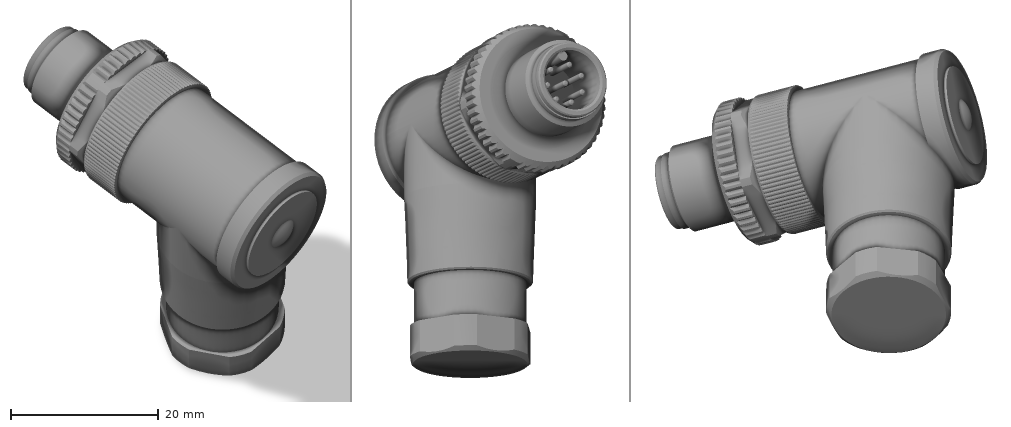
import cadquery as cq
import math


nose_radius = 5.15
nose_length = 1.0
nose_edge = 0.18
collar_radius = 5.32
sleeve_radius = 6.05
sleeve_start = 2.0
sleeve_shoulder_length = 0.45
sleeve_end = 9.0
sleeve_back_length = 0.3
neck_radius = 5.45

bore_radius = 4.15
bore_floor_radius = 3.95
bore_mouth_radius = 4.45
bore_mouth_depth = 0.2
bore_depth = 7.9
pin_radius = 0.4
pin_tip_radius = 0.2
pin_tip_start = 2.2
pin_circle_radius = 2.75
outer_pin_count = 7
key_angle = 110.0
key_gap_angle = 65.4
key_radius = 0.65
key_distance = 3.5
key_start = 0.65

ring_radius = 10.08
ring_start = 10.0
ring_face_radius = 9.3
flare_radius = 7.45
tooth_end = 13.05
tooth_count = 52
tooth_depth = 0.4
tooth_groove_share = 0.7
hex_flat_distance = 8.98
hex_corner_angle = 9.0
hex_chamfer_length = 0.8
hex_chamfer_height = 0.95
mark_angle = hex_corner_angle + 150
mark_width = 2.65
mark_depth = 0.25
plain_corner_angle = hex_corner_angle + 60
plain_half_width = 5.0

knurl_radius = 9.75
knurl_start = 15.35
knurl_end = 21.15
knurl_chamfer_length = 0.4
knurl_chamfer_height = 0.2
knurl_count = 100
knurl_depth = 0.15
knurl_groove_share = 0.7

barrel_radius = 8.98
cap_radius = 9.5
cap_start = 39.8
cap_end = 42.9
cap_chamfer_length = 0.5
cap_chamfer_height = 0.3
disc_radius = 6.85
disc_end = 43.3
dome_radius = 2.25
overall_length = 44.0

branch_x = 32.15
taper_top = -9.6
taper_bottom = -21.4
taper_end_radius = 8.55
taper_edge = 0.2
branch_neck_radius = 7.65
nut_top = -27.75
nut_bottom = -32.7
nut_corner_radius = 8.5
nut_flat_distance = 8.0
nut_chamfer_height = 0.55
nut_end_radius = 7.8


def revolve_about_x(profile):
    """Turn a closed (x, radius) sketch around the main axis."""
    return profile.close().revolve(360, (0, 0, 0), (1, 0, 0))


def plane_across_x(x):
    """Plane facing +X whose local x axis points along -Y and local y along -Z."""
    return cq.Plane(origin=(x, 0, 0), xDir=(0, -1, 0), normal=(1, 0, 0))


def across_point(radius, angle):
    """Local point on plane_across_x at an angle from -Y towards +Z."""
    angle = math.radians(angle)
    return (radius * math.cos(angle), -radius * math.sin(angle))


def grooved_outline(radius, count, depth, groove_share, is_plain):
    """Corner points of a circle cut by evenly spaced V grooves, left out where is_plain holds."""
    pitch = 360 / count
    half_groove = groove_share * pitch / 2
    points = []
    for i in range(count):
        angle = i * pitch
        root_radius = radius if is_plain(angle) else radius - depth
        points.append(across_point(radius, angle - half_groove))
        points.append(across_point(root_radius, angle))
        points.append(across_point(radius, angle + half_groove))
    return points


def prism_along_x(points, start, end):
    return cq.Workplane(plane_across_x(start)).polyline(points).close().extrude(end - start)


def near_plain_corner(angle):
    """True beside the two opposite ring corners that carry no teeth."""
    offset = (angle - plain_corner_angle + 90) % 180 - 90
    return abs(offset) < plain_half_width


def make_sleeve():
    profile = (
        cq.Workplane("XY")
        .moveTo(0, 0)
        .lineTo(0, nose_radius - nose_edge)
        .lineTo(nose_edge, nose_radius)
        .lineTo(nose_length, nose_radius)
        .lineTo(nose_length, collar_radius)
        .lineTo(sleeve_start, collar_radius)
        .lineTo(sleeve_start + sleeve_shoulder_length, sleeve_radius)
        .lineTo(sleeve_end - sleeve_back_length, sleeve_radius)
        .lineTo(sleeve_end, neck_radius)
        .lineTo(ring_start, neck_radius)
        .lineTo(ring_start, 0)
    )
    return revolve_about_x(profile)


def make_bore():
    profile = (
        cq.Workplane("XY")
        .moveTo(0, 0)
        .lineTo(0, bore_mouth_radius)
        .lineTo(bore_mouth_depth, bore_radius)
        .lineTo(bore_depth, bore_floor_radius)
        .lineTo(bore_depth, 0)
    )
    return revolve_about_x(profile)


def make_pin(position):
    tip_length = pin_radius - pin_tip_radius
    return (
        cq.Workplane(plane_across_x(pin_tip_start))
        .center(*position)
        .circle(pin_radius)
        .extrude(sleeve_end - pin_tip_start)
        .faces("<X")
        .chamfer(tip_length)
    )


def make_pins():
    """One pin in the middle and a circle of pins with a wider gap at the key."""
    pins = make_pin((0, 0))
    spacing = (360 - key_gap_angle) / (outer_pin_count - 1)
    for i in range(outer_pin_count):
        angle = key_angle + key_gap_angle / 2 + i * spacing
        pins = pins.union(make_pin(across_point(pin_circle_radius, angle)))
    return pins


def make_key():
    return (
        cq.Workplane(plane_across_x(key_start))
        .center(*across_point(key_distance, key_angle))
        .circle(key_radius)
        .extrude(sleeve_end - key_start)
    )


def make_flare():
    """Concave flare from the neck up to the flat front face of the coupling ring."""
    length = ring_start - sleeve_end
    rise = flare_radius - neck_radius
    arc_radius = (length**2 + rise**2) / (2 * length)
    half_sweep = math.asin(rise / arc_radius) / 2
    arc_middle = (
        ring_start - arc_radius * (1 - math.cos(half_sweep)),
        flare_radius - arc_radius * math.sin(half_sweep),
    )
    profile = (
        cq.Workplane("XY")
        .moveTo(sleeve_end, 0)
        .lineTo(sleeve_end, neck_radius)
        .threePointArc(arc_middle, (ring_start, flare_radius))
        .lineTo(ring_start, 0)
    )
    return revolve_about_x(profile)


def make_coupling_ring():
    front_chamfer = ring_radius - ring_face_radius
    profile = (
        cq.Workplane("XY")
        .moveTo(ring_start, 0)
        .lineTo(ring_start, ring_face_radius)
        .lineTo(ring_start + front_chamfer, ring_radius)
        .lineTo(knurl_start - hex_chamfer_length, ring_radius)
        .lineTo(knurl_start, ring_radius - hex_chamfer_height)
        .lineTo(knurl_start, 0)
    )
    outline = grooved_outline(
        ring_radius, tooth_count, tooth_depth, tooth_groove_share, near_plain_corner
    )
    toothed = prism_along_x(outline, ring_start, tooth_end)
    hex_corner_distance = hex_flat_distance / math.cos(math.radians(30))
    hex_points = [across_point(hex_corner_distance, hex_corner_angle + 60 * i) for i in range(6)]
    hexagon = prism_along_x(hex_points, tooth_end, knurl_start)
    return revolve_about_x(profile).intersect(toothed.union(hexagon))


def make_mark_groove():
    """Shallow groove along the middle of one hexagon flat."""
    outer_distance = ring_radius
    floor_distance = hex_flat_distance - mark_depth
    return (
        cq.Workplane(plane_across_x(tooth_end))
        .transformed(rotate=(0, 0, -mark_angle))
        .center((outer_distance + floor_distance) / 2, 0)
        .rect(outer_distance - floor_distance, mark_width)
        .extrude(knurl_start - tooth_end)
    )


def make_knurled_collar():
    profile = (
        cq.Workplane("XY")
        .moveTo(knurl_start, 0)
        .lineTo(knurl_start, knurl_radius - knurl_chamfer_height)
        .lineTo(knurl_start + knurl_chamfer_length, knurl_radius)
        .lineTo(knurl_end, knurl_radius)
        .lineTo(knurl_end, 0)
    )
    outline = grooved_outline(
        knurl_radius, knurl_count, knurl_depth, knurl_groove_share, lambda angle: False
    )
    return revolve_about_x(profile).intersect(prism_along_x(outline, knurl_start, knurl_end))


def make_barrel_and_cap():
    dome_height = overall_length - disc_end
    sphere_radius = (dome_radius**2 + dome_height**2) / (2 * dome_height)
    half_sweep = math.asin(dome_radius / sphere_radius) / 2
    dome_middle = (
        overall_length - sphere_radius * (1 - math.cos(half_sweep)),
        sphere_radius * math.sin(half_sweep),
    )
    profile = (
        cq.Workplane("XY")
        .moveTo(knurl_end, 0)
        .lineTo(knurl_end, barrel_radius)
        .lineTo(cap_start, barrel_radius)
        .lineTo(cap_start, cap_radius)
        .lineTo(cap_end - cap_chamfer_length, cap_radius)
        .lineTo(cap_end, cap_radius - cap_chamfer_height)
        .lineTo(cap_end, disc_radius)
        .lineTo(disc_end, disc_radius)
        .lineTo(disc_end, dome_radius)
        .threePointArc(dome_middle, (overall_length, 0))
    )
    return revolve_about_x(profile)


def make_branch():
    """Mitred branch of the barrel's own radius, tapering down to a neck ending inside the nut."""
    neck_end = (nut_top + nut_bottom) / 2
    profile = (
        cq.Workplane("XZ", origin=(branch_x, 0, 0))
        .moveTo(0, 0)
        .lineTo(barrel_radius, 0)
        .lineTo(barrel_radius, taper_top)
        .lineTo(taper_end_radius, taper_bottom + taper_edge)
        .lineTo(taper_end_radius - taper_edge, taper_bottom)
        .lineTo(branch_neck_radius, taper_bottom)
        .lineTo(branch_neck_radius, neck_end)
        .lineTo(0, neck_end)
        .close()
    )
    return profile.revolve(360, (0, 0, 0), (0, 1, 0))


def make_nut():
    """Cable nut: hexagon with turned corners, one corner facing -Y."""
    turned = (
        cq.Workplane("XZ", origin=(branch_x, 0, 0))
        .moveTo(0, nut_top)
        .lineTo(nut_corner_radius, nut_top)
        .lineTo(nut_corner_radius, nut_bottom + nut_chamfer_height)
        .lineTo(nut_end_radius, nut_bottom)
        .lineTo(0, nut_bottom)
        .close()
        .revolve(360, (0, 0, 0), (0, 1, 0))
    )
    hexagon = (
        cq.Workplane("XY", origin=(branch_x, 0, nut_bottom))
        .polygon(6, 2 * nut_flat_distance, circumscribed=True)
        .extrude(nut_top - nut_bottom)
    )
    return turned.intersect(hexagon)


plug = make_sleeve().cut(make_bore()).union(make_pins()).union(make_key())
ring = make_flare().union(make_coupling_ring()).cut(make_mark_groove()).union(make_knurled_collar())
elbow = make_barrel_and_cap().union(make_branch()).union(make_nut())
result = plug.union(ring).union(elbow)